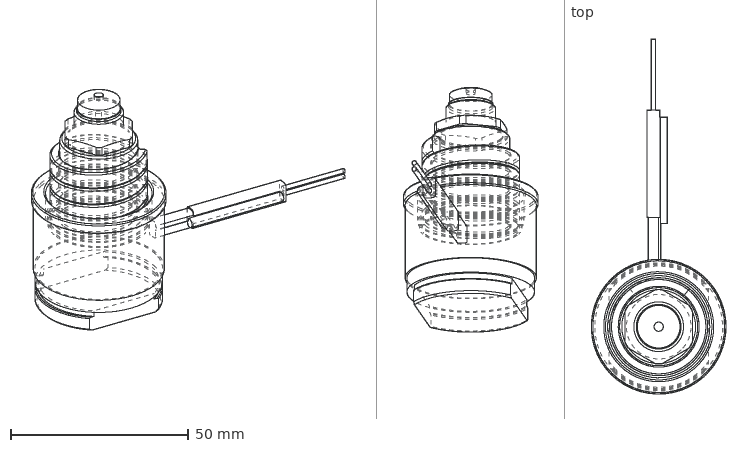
import cadquery as cq
import math

BASE_RADIUS = 18.0
BASE_FLAT_WIDTH = 28.0
BASE_HEIGHT = 4.3
BASE_CHAMFER = 0.6
BASE_TOP_CHAMFER = 0.3
GROOVE_RADIUS = 17.1
GROOVE_TOP = 6.1
COLLAR_TOP = 10.3
BARREL_RADIUS = 18.5
FLANGE_RADIUS = 19.0
FLANGE_BOTTOM = 31.9
HOUSING_TOP = 35.0
FLANGE_CHAMFER = 0.4

BORE_RADIUS = 15.0
BORE_STEP_RADIUS = 14.4
BORE_STEP_DEPTH = 8.0
BORE_DEPTH = 10.0
BORE_CHAMFER = 0.5

NECK_RADIUS = 11.0
NECK_TOP = 52.3
NECK_CHAMFER = 0.6
COIL_OUTER_RADIUS = 13.8
COIL_INNER_RADIUS = 10.9
COIL_PITCH = 5.2
COIL_GAP = 0.1
COIL_CHAMFER = 0.5
COIL_TURNS = 5
COIL_END_ANGLE = 51.0
COIL_END_TOP = 49.8

NUT_BOTTOM = 52.7
NUT_ACROSS_FLATS = 19.0
NUT_CORNER_RADIUS = 10.5
NUT_SIDE_TOP = 55.2
NUT_COLLAR_RADIUS = 9.1
NUT_TURN = 30.0
SPIGOT_RADIUS = 7.0
SPIGOT_TOP = 60.7
SPIGOT_FILLET = 0.7
NUT_CONE_TOP = 56.0
RING_RADIUS = 6.3
RING_BOTTOM = 61.2
RING_TOP = 61.9
CAP_RADIUS = 6.0
CAP_EDGE = 64.7
DOME_APEX = 66.3
TIP_HOLE_RADIUS = 1.3
TIP_HOLE_DEPTH = 1.2
TIP_CONE_HEIGHT = 0.7

CABLE_X = -1.5
CABLE_Z = 17.2
CABLE_END = 81.0
CABLE_START = 10.0
CABLE_WIDTH = 3.0
CABLE_HEIGHT = 5.2
CABLE_FILLET = 0.6
SLEEVE_WIDTH = 3.6
SLEEVE_HEIGHT = 6.0
SLEEVE_FILLET = 0.9
SLEEVE_START = 30.8
SLEEVE_END = 61.0
CORE_RADIUS = 0.65
CORE_SPACING = 1.8
TUBE_X = 1.1
TUBE_DIAMETER = 2.7
TUBE_START = 29.0
TUBE_END = 59.0
SIDE_WIRE_X = 0.0
SIDE_WIRE_Z = 18.0


def housing():
    """Base, groove, collar, barrel and flange as one revolved profile."""
    profile = (
        cq.Workplane("XZ")
        .moveTo(0, 0)
        .lineTo(BASE_RADIUS - BASE_CHAMFER, 0)
        .lineTo(BASE_RADIUS, BASE_CHAMFER)
        .lineTo(BASE_RADIUS, BASE_HEIGHT - BASE_TOP_CHAMFER)
        .lineTo(BASE_RADIUS - BASE_TOP_CHAMFER, BASE_HEIGHT)
        .lineTo(GROOVE_RADIUS, BASE_HEIGHT)
        .lineTo(GROOVE_RADIUS, GROOVE_TOP)
        .lineTo(BASE_RADIUS, GROOVE_TOP)
        .lineTo(BASE_RADIUS, COLLAR_TOP)
        .lineTo(BARREL_RADIUS, COLLAR_TOP)
        .lineTo(BARREL_RADIUS, FLANGE_BOTTOM)
        .lineTo(FLANGE_RADIUS, FLANGE_BOTTOM + FLANGE_CHAMFER)
        .lineTo(FLANGE_RADIUS, HOUSING_TOP - FLANGE_CHAMFER)
        .lineTo(FLANGE_RADIUS - FLANGE_CHAMFER, HOUSING_TOP)
        .lineTo(BORE_RADIUS + BORE_CHAMFER, HOUSING_TOP)
        .lineTo(BORE_RADIUS, HOUSING_TOP - BORE_CHAMFER)
        .lineTo(BORE_RADIUS, HOUSING_TOP - BORE_STEP_DEPTH)
        .lineTo(BORE_STEP_RADIUS, HOUSING_TOP - BORE_STEP_DEPTH)
        .lineTo(BORE_STEP_RADIUS, HOUSING_TOP - BORE_DEPTH)
        .lineTo(0, HOUSING_TOP - BORE_DEPTH)
        .close()
    )
    body = profile.revolve(360, (0, 0), (0, 1))
    for side in (-1, 1):
        waste = (
            cq.Workplane("XY")
            .box(BASE_RADIUS, 2 * FLANGE_RADIUS, GROOVE_TOP, centered=(True, True, False))
            .translate((side * (BASE_FLAT_WIDTH + BASE_RADIUS) / 2, 0, 0))
        )
        body = body.cut(waste)
    return body


def neck():
    """Plain neck standing on the bore floor, chamfered at its top."""
    floor = HOUSING_TOP - BORE_DEPTH
    return (
        cq.Workplane("XY", origin=(0, 0, floor))
        .circle(NECK_RADIUS)
        .extrude(NECK_TOP - floor)
        .faces(">Z")
        .chamfer(NECK_CHAMFER)
    )


def coil():
    """Helix of chamfered flat wire, ending at COIL_END_ANGLE."""
    length = COIL_TURNS * COIL_PITCH
    height = COIL_PITCH - COIL_GAP
    middle = (COIL_INNER_RADIUS + COIL_OUTER_RADIUS) / 2
    width = COIL_OUTER_RADIUS - COIL_INNER_RADIUS
    path = cq.Wire.makeHelix(COIL_PITCH, length, middle)
    section = cq.Sketch().rect(width, height).vertices().chamfer(COIL_CHAMFER)
    wound = (
        cq.Workplane("XZ", origin=(middle, 0, 0))
        .placeSketch(section)
        .sweep(cq.Workplane(path), isFrenet=True)
    )
    bottom = COIL_END_TOP - height / 2 - length
    return wound.rotate((0, 0, 0), (0, 0, 1), COIL_END_ANGLE).translate((0, 0, bottom))


def nut():
    """Hexagon with corners on +/-Y, trimmed by a cylinder and a top cone."""
    hexagon = (
        cq.Workplane("XY", origin=(0, 0, NUT_BOTTOM))
        .polygon(6, NUT_ACROSS_FLATS / math.cos(math.pi / 6))
        .extrude(NUT_CONE_TOP - NUT_BOTTOM)
        .rotate((0, 0, 0), (0, 0, 1), NUT_TURN)
    )
    envelope = (
        cq.Workplane("XZ")
        .moveTo(0, NUT_BOTTOM)
        .lineTo(NUT_CORNER_RADIUS, NUT_BOTTOM)
        .lineTo(NUT_CORNER_RADIUS, NUT_SIDE_TOP)
        .lineTo(SPIGOT_RADIUS + SPIGOT_FILLET, NUT_CONE_TOP)
        .lineTo(0, NUT_CONE_TOP)
        .close()
        .revolve(360, (0, 0), (0, 1))
    )
    collar = (
        cq.Workplane("XY", origin=(0, 0, NECK_TOP))
        .circle(NUT_COLLAR_RADIUS)
        .extrude(NUT_BOTTOM - NECK_TOP)
    )
    return hexagon.intersect(envelope).union(collar)


def spigot():
    """Filleted spigot, narrow ring and domed cap with a small tip hole around a cone."""
    fillet_offset = SPIGOT_FILLET * (1 - math.sqrt(0.5))
    dome_rise = DOME_APEX - CAP_EDGE
    dome_radius = (CAP_RADIUS**2 + dome_rise**2) / (2 * dome_rise)
    half_radius = CAP_RADIUS / 2
    half_height = DOME_APEX - dome_radius + math.sqrt(dome_radius**2 - half_radius**2)
    outline = (
        cq.Workplane("XZ")
        .moveTo(0, NUT_BOTTOM)
        .lineTo(SPIGOT_RADIUS + SPIGOT_FILLET, NUT_BOTTOM)
        .lineTo(SPIGOT_RADIUS + SPIGOT_FILLET, NUT_CONE_TOP)
        .threePointArc(
            (SPIGOT_RADIUS + fillet_offset, NUT_CONE_TOP + fillet_offset),
            (SPIGOT_RADIUS, NUT_CONE_TOP + SPIGOT_FILLET),
        )
        .lineTo(SPIGOT_RADIUS, SPIGOT_TOP)
        .lineTo(RING_RADIUS, RING_BOTTOM)
        .lineTo(RING_RADIUS, RING_TOP)
        .lineTo(CAP_RADIUS, RING_TOP)
        .lineTo(CAP_RADIUS, CAP_EDGE)
        .threePointArc((half_radius, half_height), (0, DOME_APEX))
        .close()
    )
    hole_floor = DOME_APEX - TIP_HOLE_DEPTH
    tip_hole = (
        cq.Workplane("XZ")
        .moveTo(0, hole_floor + TIP_CONE_HEIGHT)
        .lineTo(TIP_HOLE_RADIUS, hole_floor)
        .lineTo(TIP_HOLE_RADIUS, DOME_APEX)
        .lineTo(0, DOME_APEX)
        .close()
        .revolve(360, (0, 0), (0, 1))
    )
    return outline.revolve(360, (0, 0), (0, 1)).cut(tip_hole)


def rounded_bar(width, height, fillet, start, end):
    """Rectangular bar along Y with rounded long edges, on the cable axis."""
    return (
        cq.Workplane("XY")
        .box(width, end - start, height)
        .edges("|Y")
        .fillet(fillet)
        .translate((CABLE_X, (start + end) / 2, CABLE_Z))
    )


def rod(x, z, radius, start, end):
    """Round rod along Y."""
    return cq.Workplane("XZ", origin=(x, start, z)).circle(radius).extrude(start - end)


def cable():
    """Flat cable with sleeve and two bare cores, plus the tube and wire beside it."""
    parts = rounded_bar(CABLE_WIDTH, CABLE_HEIGHT, CABLE_FILLET, CABLE_START, SLEEVE_END)
    parts = parts.union(
        rounded_bar(SLEEVE_WIDTH, SLEEVE_HEIGHT, SLEEVE_FILLET, SLEEVE_START, SLEEVE_END)
    )
    for side in (-1, 1):
        core_z = CABLE_Z + side * CORE_SPACING / 2
        parts = parts.union(rod(CABLE_X, core_z, CORE_RADIUS, SLEEVE_START, CABLE_END))
    parts = parts.union(rod(TUBE_X, CABLE_Z, TUBE_DIAMETER / 2, TUBE_START, TUBE_END))
    return parts.union(rod(SIDE_WIRE_X, SIDE_WIRE_Z, CORE_RADIUS, CABLE_START, TUBE_END))


result = housing().union(neck()).union(coil()).union(nut()).union(spigot()).union(cable())